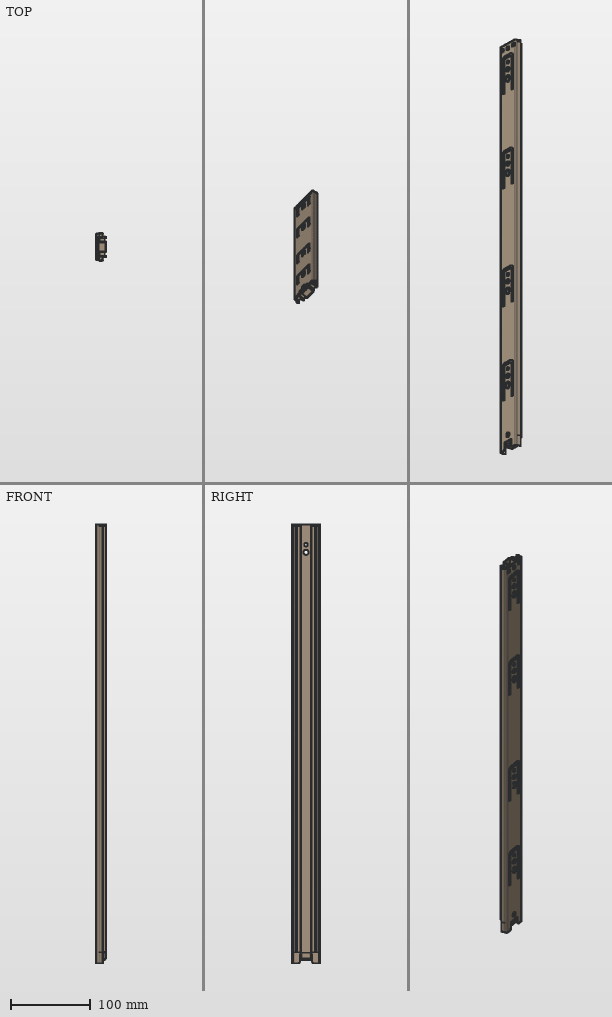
import cadquery as cq
import math


length = 550.0
depth = 12.7
half_width = 35.98 / 2
sheet = 1.2
back = -depth / 2
front = depth / 2
top = length / 2
bottom = -length / 2

race_radius = 3.5
ball_radius = race_radius - sheet
race_x = -0.2
race_y = half_width - race_radius

outer_side = 17.0
outer_corner = 1.8
outer_blend = 1.0
lip_angle = math.radians(53)

middle_back = -4.0
middle_side = 13.6
middle_edge = 12.75
middle_corner = 1.2
middle_pocket = 11.0
middle_top = top - 2.0
middle_bottom = bottom + 14.0

inner_side = 7.0
inner_back = -2.0
inner_corner = 1.0
inner_bottom = middle_bottom - 1.0
cage_back = -2.0
cage_front = 5.0
stop_half_width = 6.3
stop_bottom = bottom + 4.0
stop_chamfer = 2.4
stop_thickness = 3.0
tongue_half_width = 5.6

hole_module = 32.0
first_hole_z = top - 35
group_modules = [0, 4, 9, 13]
group_zs = [first_hole_z - modules * hole_module for modules in group_modules]
screw_diameter = 6.2
pilot_diameter = 4.2
pilot_rise = 9.6
oblong_top = 7.95
oblong_bottom = 17.1
oblong_width = 6.0
rivet_hole_diameter = 3.0
rivet_hole_z = group_zs[2] + pilot_rise
lower_hole_z = group_zs[3] - 2.5 * hole_module

u_rise = 19.5
u_length = 49.8
u_half_width = 11.3
u_slot = 3.35
u_corner = 5.0

end_hole_diameter = 5.4
end_hole_z = top - 6.6
window_z = top - 6.0
window_height = 3.5
window_inside = 9.3
window_outside = 15.0

notch_height = 10.8
notch_half_width = 7.4
notch_mouth_radius = 2.5
tab_half_width = 5.0
tab_step = 1.45
tab_ramp = 3.0
tab_length = 6.5


def mirrored_prism(half_outline, z_low, z_high):
    """Extrude an XY outline drawn on the +Y half, joined to its mirror image."""
    half = half_outline.close().extrude(z_high - z_low).translate((0, 0, z_low))
    return half.union(half.mirror("XZ"))


def web_hole(diameter, z, x_start, x_end):
    """Round cutter along X through the middle of a web."""
    hole = cq.Workplane("YZ").center(0, z).circle(diameter / 2).extrude(x_end - x_start)
    return hole.translate((x_start, 0, 0))


def block(x_low, x_high, y_low, y_high, z_low, z_high):
    """Box between the given coordinates."""
    size = (x_high - x_low, y_high - y_low, z_high - z_low)
    return cq.Workplane("XY").box(*size, centered=False).translate((x_low, y_low, z_low))


def race_point(radius, angle):
    """Point of the ball race, the angle in radians measured from +Y toward -X."""
    return race_x - radius * math.sin(angle), race_y + radius * math.cos(angle)


def outer_outline():
    """Half section of the outer rail: web, rounded corner, flange, blend and ball race."""
    inside = outer_side - sheet
    corner_x = back + outer_corner
    corner_y = outer_side - outer_corner
    corner_diagonal = math.sqrt(0.5)
    corner_inner = outer_corner - sheet
    blend_y = outer_side + outer_blend
    blend_angle = math.acos((blend_y - race_y) / (race_radius + outer_blend))
    blend_x = race_point(race_radius + outer_blend, blend_angle)[0]
    blend_inner = outer_blend + sheet
    blend_sine = math.sin(blend_angle / 2)
    blend_cosine = math.cos(blend_angle / 2)
    return (
        cq.Workplane("XY")
        .moveTo(back, 0)
        .lineTo(back, corner_y)
        .threePointArc(
            (corner_x - outer_corner * corner_diagonal, corner_y + outer_corner * corner_diagonal),
            (corner_x, outer_side),
        )
        .lineTo(blend_x, outer_side)
        .threePointArc(
            (blend_x + outer_blend * blend_sine, blend_y - outer_blend * blend_cosine),
            race_point(race_radius, blend_angle),
        )
        .threePointArc(race_point(race_radius, 0), race_point(race_radius, -lip_angle))
        .lineTo(*race_point(ball_radius, -lip_angle))
        .threePointArc(race_point(ball_radius, 0), race_point(ball_radius, blend_angle))
        .threePointArc(
            (blend_x + blend_inner * blend_sine, blend_y - blend_inner * blend_cosine),
            (blend_x, inside),
        )
        .lineTo(corner_x, inside)
        .threePointArc(
            (corner_x - corner_inner * corner_diagonal, corner_y + corner_inner * corner_diagonal),
            (back + sheet, corner_y),
        )
        .lineTo(back + sheet, 0)
    )


def u_slot_cutter(z):
    """U-shaped slot, open side down, around the hole group at height z."""
    high = z + u_rise
    low = high - u_length
    outside = block(back, back + sheet, -u_half_width, u_half_width, low, high)
    outside = outside.edges("|X and >Z").fillet(u_corner)
    inner_half = u_half_width - u_slot
    inside = block(back, back + sheet, -inner_half, inner_half, low, high - u_slot)
    inside = inside.edges("|X and >Z").fillet(u_corner - u_slot)
    return outside.cut(inside)


def oblong_cutter(z):
    """Upright oblong hole below the screw hole at height z."""
    height = oblong_bottom - oblong_top
    middle = z - (oblong_top + oblong_bottom) / 2
    cutter = cq.Workplane("YZ").center(0, middle).slot2D(height, oblong_width, 90).extrude(sheet)
    return cutter.translate((back, 0, 0))


def notch_cutter():
    """Notch at the lower end, its mouth widening in round corners."""
    notch_top = bottom + notch_height
    mouth_z = bottom + notch_mouth_radius
    mouth_half_width = notch_half_width + notch_mouth_radius
    bend = notch_mouth_radius * (1 - math.sqrt(0.5))
    outline = (
        cq.Workplane("YZ")
        .moveTo(-notch_half_width, notch_top)
        .lineTo(notch_half_width, notch_top)
        .lineTo(notch_half_width, mouth_z)
        .threePointArc((notch_half_width + bend, bottom + bend), (mouth_half_width, bottom))
        .lineTo(-mouth_half_width, bottom)
        .threePointArc((-notch_half_width - bend, bottom + bend), (-notch_half_width, mouth_z))
        .close()
    )
    return outline.extrude(sheet).translate((back, 0, 0))


def stop_tab():
    """Tab hanging from the notch, stepped inward toward +X."""
    start = bottom + notch_height
    ramp_end = start - tab_ramp
    tip = start - tab_length
    points = [
        (back, start),
        (back + tab_step, ramp_end),
        (back + tab_step, tip),
        (back + tab_step + sheet, tip),
        (back + tab_step + sheet, ramp_end),
        (back + sheet, start),
    ]
    return cq.Workplane("XZ").polyline(points).close().extrude(tab_half_width, both=True)


def make_outer_rail():
    rail = mirrored_prism(outer_outline(), bottom, top)
    web_inside = back + sheet
    for z in group_zs:
        rail = rail.cut(u_slot_cutter(z))
        rail = rail.cut(web_hole(pilot_diameter, z + pilot_rise, back, web_inside))
        rail = rail.cut(web_hole(screw_diameter, z, back, web_inside))
        rail = rail.cut(oblong_cutter(z))
    rail = rail.cut(web_hole(screw_diameter, lower_hole_z, back, web_inside))
    rail = rail.cut(web_hole(end_hole_diameter, end_hole_z, back, web_inside))
    window = block(
        back,
        web_inside,
        window_inside,
        window_outside,
        window_z - window_height / 2,
        window_z + window_height / 2,
    )
    rail = rail.cut(window).cut(window.mirror("XZ"))
    return rail.cut(notch_cutter()).union(stop_tab())


def cut_access_holes(rail):
    """Driver holes in line with the first pilot and screw holes."""
    rail = rail.cut(web_hole(pilot_diameter, group_zs[0] + pilot_rise, back, front))
    return rail.cut(web_hole(screw_diameter, group_zs[0], back, front))


def make_intermediate_rail():
    reach = math.sqrt(ball_radius**2 - (race_y - middle_side) ** 2)
    bend = middle_corner * (1 - math.sqrt(0.5))
    outline = (
        cq.Workplane("XY")
        .moveTo(middle_back, 0)
        .lineTo(middle_back, middle_side - middle_corner)
        .threePointArc(
            (middle_back + bend, middle_side - bend),
            (middle_back + middle_corner, middle_side),
        )
        .lineTo(race_x - reach, middle_side)
        .threePointArc((race_x, race_y - ball_radius), (race_x + reach, middle_side))
        .lineTo(front, middle_edge)
        .lineTo(front, 0)
    )
    rail = mirrored_prism(outline, middle_bottom, middle_top)
    rail = rail.cut(
        block(middle_back + sheet, front, -middle_pocket, middle_pocket, middle_bottom, middle_top)
    )
    rail = rail.cut(web_hole(rivet_hole_diameter, rivet_hole_z, middle_back, middle_back + sheet))
    return cut_access_holes(rail)


def make_inner_rail():
    rail = block(inner_back, front, -inner_side, inner_side, inner_bottom, top)
    rail = rail.edges("|Z and >X").fillet(inner_corner)
    pocket_side = inner_side - sheet
    rail = rail.cut(block(inner_back, front - sheet, -pocket_side, pocket_side, inner_bottom, top))
    return cut_access_holes(rail)


def make_ball_row(side):
    """Ball row between the outer and the intermediate rail, as one round strip."""
    row = cq.Workplane("XY").center(race_x, side * race_y).circle(ball_radius)
    return row.extrude(middle_top - middle_bottom).translate((0, 0, middle_bottom))


def make_inner_cage(side):
    """Ball cage strip between the intermediate and the inner rail."""
    cage = block(cage_back, cage_front, inner_side, middle_pocket, middle_bottom, middle_top)
    return cage if side > 0 else cage.mirror("XZ")


def make_end_stop():
    """Stop below the inner rail: a plate with round sides and a bevelled tip, and a tongue behind it."""
    plate_middle = front - stop_thickness / 2
    plate = cq.Workplane("XY").center(plate_middle, 0).slot2D(2 * stop_half_width, stop_thickness, 90)
    plate = plate.extrude(inner_bottom - stop_bottom).translate((0, 0, stop_bottom))
    bevel_points = [
        (front, stop_bottom),
        (front, stop_bottom + stop_chamfer),
        (front - stop_chamfer, stop_bottom),
    ]
    tip_bevel = cq.Workplane("XZ").polyline(bevel_points).close().extrude(stop_half_width, both=True)
    tongue = block(
        middle_back + sheet,
        plate_middle,
        -tongue_half_width,
        tongue_half_width,
        stop_bottom,
        inner_bottom,
    )
    return plate.cut(tip_bevel).union(tongue)


outer_rail = make_outer_rail()
intermediate_rail = make_intermediate_rail()
inner_rail = make_inner_rail()
ball_rows = [make_ball_row(side) for side in (1, -1)]
inner_cages = [make_inner_cage(side) for side in (1, -1)]
end_stop = make_end_stop()

result = cq.Compound.makeCompound(
    [
        outer_rail.val(),
        intermediate_rail.val(),
        inner_rail.val(),
        *[row.val() for row in ball_rows],
        *[cage.val() for cage in inner_cages],
        end_stop.val(),
    ]
)